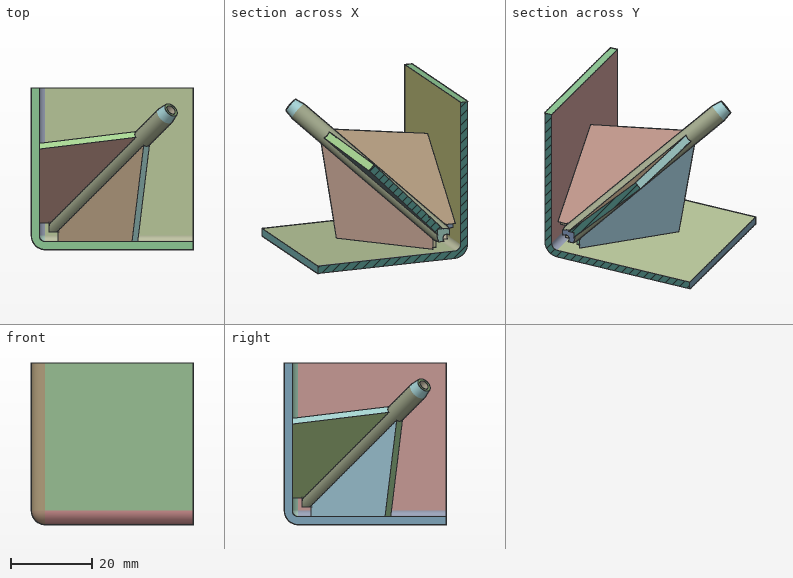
import cadquery as cq
import math

size = 40.0
wall = 2.0
outer_radius = 3.5
inner_radius = outer_radius - wall

tube_diameter = 4.7
bore_diameter = 2.5
tip_diameter = 3.75
tip_length = 2.5
tip_position = 34.5

web_thickness = 2.0
web_peak = 28.85
web_end_angle = 45.0

recess_reach = 8.0
recess_height = 4.4

origin = cq.Vector(0, 0, 0)
diagonal = cq.Vector(1, 1, 1)
tube_length = tip_position * math.sqrt(3)


def rounded_block(start, radius):
    """Box from start to size on each axis, rounded on the three edges at its low corner."""
    side = size - start
    block = cq.Workplane("XY").box(side, side, side, centered=False)
    rounded_edges = block.edges("(<X and <Y) or (<X and <Z) or (<Y and <Z)")
    return rounded_edges.fillet(radius).translate((start, start, start))


def turn_about_diagonal(shape, step):
    """Move a feature from one wall to another by thirds of a turn."""
    return shape.rotate((0, 0, 0), diagonal.toTuple(), 120 * step)


def tube():
    """Solid diagonal rod with a tapered tip."""
    profile = [
        (0, 0),
        (tube_diameter / 2, 0),
        (tube_diameter / 2, tube_length - tip_length),
        (tip_diameter / 2, tube_length),
        (0, tube_length),
    ]
    rod_plane = cq.Plane(origin=(0, 0, 0), xDir=(1, -1, 0), normal=(-1, -1, 2))
    return cq.Workplane(rod_plane).polyline(profile).close().revolve(360, (0, 0), (0, 1))


def web():
    """Plate in the plane Y = X, joining the tube to the floor, with a sloping end."""
    diagonal_angle = math.atan(1 / math.sqrt(2))
    end_angle = diagonal_angle + math.radians(web_end_angle)
    peak_along = web_peak * math.sqrt(2)
    foot_along = peak_along - web_peak / math.tan(end_angle)
    web_plane = cq.Plane(origin=(0, 0, 0), xDir=(1, 1, 0), normal=(1, -1, 0))
    outline = [(0, 0), (foot_along, 0), (peak_along, web_peak)]
    return cq.Workplane(web_plane).polyline(outline).close().extrude(web_thickness / 2, both=True)


def recess():
    """Low square space over the floor at the inner corner."""
    return cq.Workplane("XY").box(recess_reach, recess_reach, recess_height, centered=False)


cavity = rounded_block(wall, inner_radius)
shell = rounded_block(0, outer_radius).cut(cavity)

support = tube()
for step in range(3):
    support = support.union(turn_about_diagonal(web(), step))
for step in range(3):
    support = support.cut(turn_about_diagonal(recess(), step))
bore = cq.Workplane(obj=cq.Solid.makeCylinder(bore_diameter / 2, tube_length, origin, diagonal))
support = support.cut(bore)

overlap = wall / 2
support = support.intersect(rounded_block(overlap, inner_radius))

result = shell.union(support)